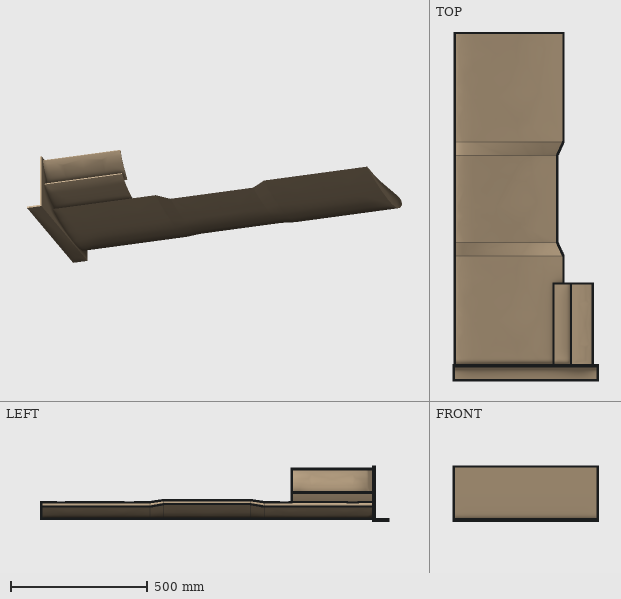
import cadquery as cq
import math

plate_length = 530.0
plate_height = 200.0
plate_thickness = 6.0
foot_width = 50.0
wing_root = foot_width + plate_thickness

outer_span = 400.0
transition_span = 50.0
center_span = 320.0

flap_span = 300.0
flap_thickness = 4.0
lower_flap_profile = [(367.0, 53.0), (449.0, 68.0), (492.0, 106.0)]
upper_flap_profile = [(432.0, 106.0), (499.0, 155.0), (510.0, 192.0)]

nose_x = 4.0
outer_nose = (nose_x, 52.0)
outer_tail = (404.0, 40.0)
outer_top = [outer_nose, (nose_x, 80.0), (35.0, 72.5), (140.0, 57.0), (264.0, 35.0), outer_tail]
outer_belly = [outer_nose, (39.0, 15.0), (64.0, -4.5), (259.0, -0.5), outer_tail]
center_nose = (nose_x, 61.0)
center_tail = (381.0, 28.0)
center_top = [center_nose, (nose_x, 84.0), (31.0, 90.0), (145.0, 51.0), (271.0, 27.0), center_tail]
center_belly = [center_nose, (42.0, 21.0), (46.0, 3.0), (229.0, -6.5), center_tail]


def make_endplate():
    """L-shaped angle: the foot points away from the wing."""
    outline = [
        (0, 0),
        (wing_root, 0),
        (wing_root, plate_height),
        (foot_width, plate_height),
        (foot_width, plate_thickness),
        (0, plate_thickness),
    ]
    return cq.Workplane("YZ").polyline(outline).close().extrude(plate_length)


def airfoil_wire(y, top, belly):
    """Closed airfoil section at the given Y, meeting in an edge at the nose and the tail."""
    sides = [cq.Edge.makeBezier([cq.Vector(x, y, z) for x, z in side]) for side in (top, belly)]
    return cq.Wire.assembleEdges(sides)


def make_wing():
    """Outer panels of one section, joined to a center panel of another by short lofts."""
    outer = (outer_top, outer_belly)
    center = (center_top, center_belly)
    panels = [
        (outer_span, outer, outer),
        (transition_span, outer, center),
        (center_span, center, center),
        (transition_span, center, outer),
        (outer_span, outer, outer),
    ]
    panel_solids = []
    y = wing_root
    for span, near_section, far_section in panels:
        near_wire = airfoil_wire(y, *near_section)
        if near_section is far_section:
            panel = cq.Solid.extrudeLinear(near_wire, [], cq.Vector(0, span, 0))
        else:
            panel = cq.Solid.makeLoft([near_wire, airfoil_wire(y + span, *far_section)])
        panel_solids.append(panel)
        y += span
    return cq.Workplane(panel_solids[0].fuse(*panel_solids[1:]).Solids()[0])


def make_flap(profile):
    """Curved plate thickened below its upper face by a constant offset."""
    start, bend = profile[:2]
    slope = math.atan2(bend[1] - start[1], bend[0] - start[0])
    shift_x = flap_thickness * math.sin(slope)
    shift_z = -flap_thickness * math.cos(slope)
    lower_profile = [(x + shift_x, z + shift_z) for x, z in profile]
    lower_start, lower_bend, lower_end = lower_profile
    return (
        cq.Workplane("XZ", origin=(0, wing_root, 0))
        .moveTo(*start)
        .bezier(profile)
        .lineTo(*lower_end)
        .bezier([lower_end, lower_bend, lower_start])
        .close()
        .extrude(-flap_span)
    )


endplate = make_endplate()
wing = make_wing()
lower_flap = make_flap(lower_flap_profile)
upper_flap = make_flap(upper_flap_profile)

result = cq.Compound.makeCompound([endplate.val(), wing.val(), lower_flap.val(), upper_flap.val()])